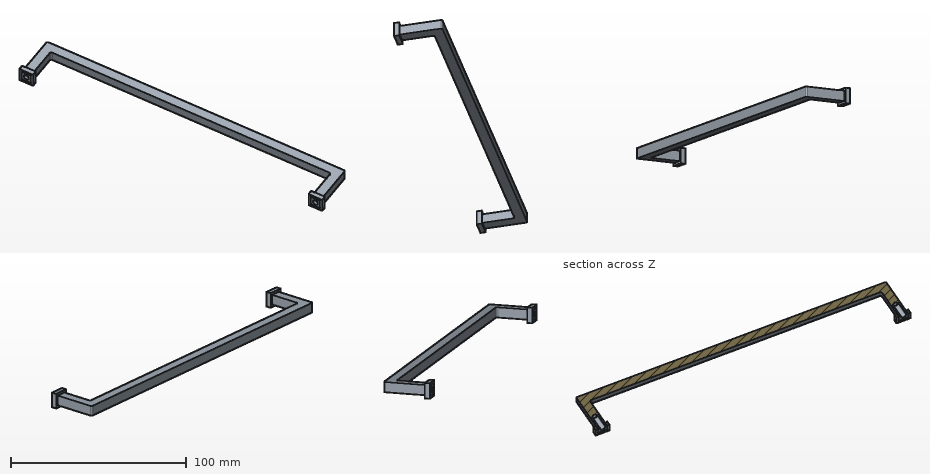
import cadquery as cq

overall_length = 201.0
overall_depth = 28.0

collar_side = 9.0
collar_thickness = 3.0

bar_side = 6.0
corner_radius = 1.0

hole_diameter = 3.2
hole_depth = 10.0
drill_point_depth = 1.0

leg_spacing = overall_length - collar_side
leg_centers = (-leg_spacing / 2, leg_spacing / 2)
handle_length = leg_spacing + bar_side
handle_gap = leg_spacing - bar_side
leg_inner_depth = overall_depth - bar_side


def block(width, depth, height, center_x):
    """Block standing on the mounting face, centred in Z."""
    return (
        cq.Workplane("XY")
        .box(width, depth, height, centered=(True, False, True))
        .translate((center_x, 0, 0))
    )


def make_screw_hole(center_x):
    """Cutter for a blind hole along +Y with a conical bottom."""
    return (
        cq.Workplane("XY")
        .lineTo(hole_diameter / 2, 0)
        .lineTo(hole_diameter / 2, hole_depth)
        .lineTo(0, hole_depth + drill_point_depth)
        .close()
        .revolve(360, (0, 0, 0), (0, 1, 0))
        .translate((center_x, 0, 0))
    )


def make_handle():
    """U-shaped bar with rounded corners and a screw hole in each leg."""
    outer = block(handle_length, overall_depth, bar_side, 0)
    outer = outer.edges("|Z and >Y").fillet(corner_radius)
    opening = block(handle_gap, leg_inner_depth, bar_side, 0)
    opening = opening.edges("|Z and >Y").fillet(corner_radius)
    handle = outer.cut(opening)
    for center_x in leg_centers:
        handle = handle.cut(make_screw_hole(center_x))
    return handle


def make_collar(center_x):
    """Square collar that fits around the end of one leg."""
    plate = block(collar_side, collar_thickness, collar_side, center_x)
    leg_opening = block(bar_side, collar_thickness, bar_side, center_x)
    return plate.cut(leg_opening)


handle = make_handle()
collars = [make_collar(center_x) for center_x in leg_centers]

result = cq.Compound.makeCompound([handle.val(), *[collar.val() for collar in collars]])